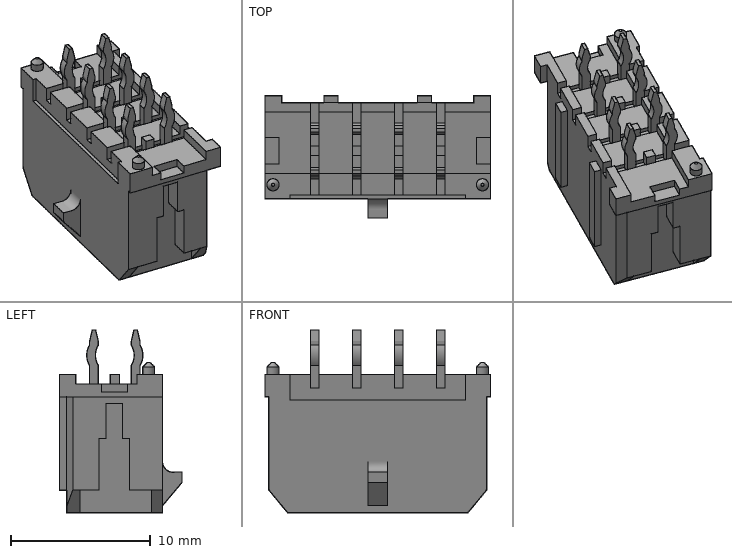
import cadquery as cq
import math


body_width = 15.6
flange_width = 16.15
body_depth = 6.87
overall_depth = 7.38
housing_height = 9.91
flange_bottom = 8.29
end_chamfer_height = 1.65
end_chamfer_run = 1.36
rear_bevel_depth = 0.45
rear_bevel_run = 1.0
flange_lug_length = 1.22

trough_floor = 9.23
trough_front = 1.82
trough_rear = 6.20
notch_floor = 8.65
notch_length = 1.0
notch_front = 2.50
notch_rear = 4.38
slot_floor = 8.92
slot_width = 0.58

panel_width = 12.58
panel_bottom = 8.09
panel_depth = 0.26

end_recess_center = 3.455
wide_recess_width = 2.19
wide_recess_top = 5.32
narrow_recess_width = 1.16
narrow_recess_top = 7.83
mouth_front = 0.79
mouth_rear = 5.89

rib_width = 1.02
rib_spacing = 6.69
rib_bottom = 1.62

latch_width = 1.42
latch_reach = 1.39
latch_top = 3.65
latch_arc_radius = 0.73
latch_arc_end = 0.83
latch_lip_top = 2.94
latch_lip_bottom = 2.18
latch_foot = 0.52

peg_spacing = 14.97
peg_y = 1.0
peg_diameter = 0.87
peg_tip_diameter = 0.22
peg_shoulder = 10.43
peg_top = 10.76

pin_pitch = 3.0
pins_per_row = 4
pin_width = 0.63
pin_thickness = 0.64
pin_tip_thickness = 0.25
front_row_y = 1.93
rear_row_y = 4.91
pin_bend_bottom = 10.54
pin_bend_top = 12.0
pin_bend_offset = 0.205
pin_taper_start = 12.27
pin_top = 13.09
post_thickness = 0.68

row_center_y = (front_row_y + rear_row_y) / 2
pin_positions = [pin_pitch * (i - (pins_per_row - 1) / 2) for i in range(pins_per_row)]


def box(x_min, x_max, y_min, y_max, z_min, z_max):
    size = (x_max - x_min, y_max - y_min, z_max - z_min)
    return cq.Workplane("XY").box(*size, centered=False).translate((x_min, y_min, z_min))


def centered_box(x_center, width, y_min, y_max, z_min, z_max):
    return box(x_center - width / 2, x_center + width / 2, y_min, y_max, z_min, z_max)


def make_body():
    half = body_width / 2
    plan = (
        cq.Workplane("XY")
        .moveTo(-half, 0)
        .lineTo(half, 0)
        .lineTo(half, body_depth - rear_bevel_depth)
        .lineTo(half - rear_bevel_run, body_depth)
        .lineTo(-half + rear_bevel_run, body_depth)
        .lineTo(-half, body_depth - rear_bevel_depth)
        .close()
        .extrude(housing_height)
    )
    chamfered_front = (
        cq.Workplane("XZ")
        .moveTo(-half + end_chamfer_run, 0)
        .lineTo(half - end_chamfer_run, 0)
        .lineTo(half, end_chamfer_height)
        .lineTo(half, housing_height)
        .lineTo(-half, housing_height)
        .lineTo(-half, end_chamfer_height)
        .close()
        .extrude(-body_depth)
    )
    return plan.intersect(chamfered_front)


def make_flange():
    flange = centered_box(0, flange_width, 0, body_depth, flange_bottom, housing_height)
    lug_center = (flange_width - flange_lug_length) / 2
    for x in (-lug_center, lug_center):
        lug = centered_box(x, flange_lug_length, trough_rear, overall_depth, flange_bottom, housing_height)
        flange = flange.union(lug)
    return flange


def make_top_cuts():
    half = flange_width / 2
    cuts = centered_box(0, flange_width, trough_front, trough_rear, trough_floor, housing_height)
    for x in (-half, half):
        notch = centered_box(x, 2 * notch_length, notch_front, notch_rear, notch_floor, housing_height)
        cuts = cuts.union(notch)
    for x in pin_positions:
        cuts = cuts.union(centered_box(x, slot_width, 0, body_depth, slot_floor, housing_height))
    return cuts


def make_front_panel():
    return centered_box(0, panel_width, 0, panel_depth, panel_bottom, housing_height)


def make_end_recess(side):
    """Recess in one end, as deep as the end chamfer; side is -1 or 1."""
    x = side * body_width / 2
    length = 2 * end_chamfer_run

    def step(width, top):
        y_min = end_recess_center - width / 2
        return centered_box(x, length, y_min, y_min + width, 0, top)

    mouth = centered_box(x, length, mouth_front, mouth_rear, 0, end_chamfer_height)
    wide = step(wide_recess_width, wide_recess_top)
    narrow = step(narrow_recess_width, narrow_recess_top)
    return mouth.union(wide).union(narrow)


def make_rib(x):
    return centered_box(x, rib_width, trough_rear, overall_depth, rib_bottom, slot_floor)


def make_latch():
    past_bottom = latch_arc_end - latch_arc_radius
    arc_end_z = latch_top - math.sqrt(latch_arc_radius**2 - past_bottom**2)
    return (
        cq.Workplane("YZ")
        .moveTo(0, latch_top)
        .threePointArc((-latch_arc_radius, latch_top - latch_arc_radius), (-latch_arc_end, arc_end_z))
        .lineTo(-latch_reach, latch_lip_top)
        .lineTo(-latch_reach, latch_lip_bottom)
        .lineTo(0, latch_foot)
        .close()
        .extrude(latch_width / 2, both=True)
    )


def make_peg(x):
    return (
        cq.Workplane("XZ")
        .moveTo(0, housing_height)
        .lineTo(peg_diameter / 2, housing_height)
        .lineTo(peg_diameter / 2, peg_shoulder)
        .lineTo(peg_tip_diameter / 2, peg_top)
        .lineTo(0, peg_top)
        .close()
        .revolve(360, (0, 0, 0), (0, 1, 0))
        .translate((x, peg_y, 0))
    )


def make_pin(x, y, bend_side):
    """Pin with a bowed stretch that leans to +Y (bend_side 1) or -Y (bend_side -1)."""
    half = pin_thickness / 2
    half_tip = pin_tip_thickness / 2
    bow = bend_side * pin_bend_offset
    bend_middle = (pin_bend_bottom + pin_bend_top) / 2
    return (
        cq.Workplane("YZ")
        .moveTo(-half, slot_floor)
        .lineTo(-half, pin_bend_bottom)
        .threePointArc((bow - half, bend_middle), (-half, pin_bend_top))
        .lineTo(-half, pin_taper_start)
        .lineTo(-half_tip, pin_top)
        .lineTo(half_tip, pin_top)
        .lineTo(half, pin_taper_start)
        .lineTo(half, pin_bend_top)
        .threePointArc((bow + half, bend_middle), (half, pin_bend_bottom))
        .lineTo(half, slot_floor)
        .close()
        .extrude(pin_width / 2, both=True)
        .translate((x, y, 0))
    )


def make_post(x):
    y_min = row_center_y - post_thickness / 2
    return centered_box(x, pin_width, y_min, y_min + post_thickness, slot_floor, housing_height)


housing = make_body().union(make_flange()).cut(make_top_cuts()).cut(make_front_panel())
housing = housing.union(make_latch())
for side in (-1, 1):
    housing = housing.cut(make_end_recess(side))
    housing = housing.union(make_rib(side * rib_spacing / 2))
    housing = housing.union(make_peg(side * peg_spacing / 2))

for pin_x in pin_positions:
    housing = housing.union(make_pin(pin_x, front_row_y, -1))
    housing = housing.union(make_pin(pin_x, rear_row_y, 1))
    housing = housing.union(make_post(pin_x))

result = housing